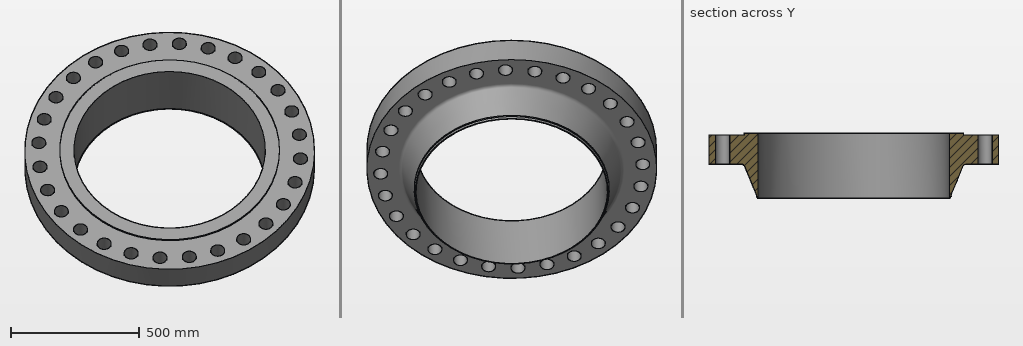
import cadquery as cq
import math

flange_diameter = 1130.0
flange_thickness = 115.0
raised_face_diameter = 857.0
raised_face_height = 7.0

total_height = 254.0
bore_diameter = 746.0
neck_root_diameter = 859.0
neck_end_diameter = 761.0
root_fillet_radius = 15.0
end_land_height = 7.0
end_bevel_width = 5.0
end_bevel_height = 7.0

bolt_count = 28
bolt_circle_diameter = 1023.0
bolt_hole_diameter = 54.0

flange_top = total_height - raised_face_height
flange_bottom = flange_top - flange_thickness


def flange_body():
    """Revolve the half section of the plate, raised face and tapered neck."""
    bore_radius = bore_diameter / 2
    flange_radius = flange_diameter / 2
    raised_face_radius = raised_face_diameter / 2
    neck_root_radius = neck_root_diameter / 2
    neck_end_radius = neck_end_diameter / 2
    taper_start = end_bevel_height + end_land_height

    taper_angle = math.atan2(neck_root_radius - neck_end_radius, flange_bottom - taper_start)
    corner_half_angle = (math.pi / 2 + taper_angle) / 2
    tangent_length = root_fillet_radius / math.tan(corner_half_angle)
    fillet_start = (
        neck_root_radius - tangent_length * math.sin(taper_angle),
        flange_bottom - tangent_length * math.cos(taper_angle),
    )
    fillet_end = (neck_root_radius + tangent_length, flange_bottom)
    fillet_middle = (
        fillet_end[0] - root_fillet_radius * math.cos(corner_half_angle),
        flange_bottom - root_fillet_radius + root_fillet_radius * math.sin(corner_half_angle),
    )

    section = (
        cq.Workplane("XZ")
        .moveTo(bore_radius, 0)
        .lineTo(neck_end_radius - end_bevel_width, 0)
        .lineTo(neck_end_radius, end_bevel_height)
        .lineTo(neck_end_radius, taper_start)
        .lineTo(*fillet_start)
        .threePointArc(fillet_middle, fillet_end)
        .lineTo(flange_radius, flange_bottom)
        .lineTo(flange_radius, flange_top)
        .lineTo(raised_face_radius, flange_top)
        .lineTo(raised_face_radius, total_height)
        .lineTo(bore_radius, total_height)
        .close()
    )
    return section.revolve(360, (0, 0, 0), (0, 1, 0))


def bolt_holes():
    """Ring of cylinders through the full thickness of the plate."""
    return (
        cq.Workplane("XY")
        .workplane(offset=flange_bottom)
        .polarArray(bolt_circle_diameter / 2, 0, 360, bolt_count)
        .circle(bolt_hole_diameter / 2)
        .extrude(flange_thickness)
    )


result = flange_body().cut(bolt_holes())